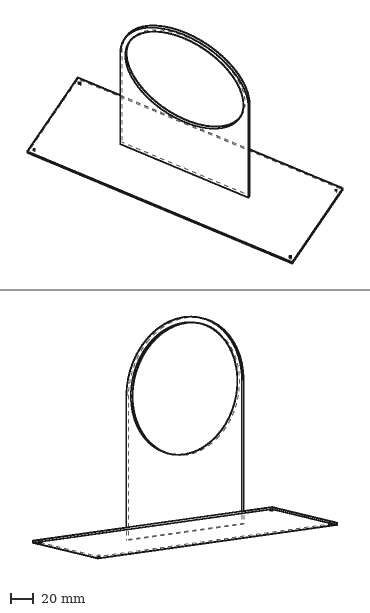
import cadquery as cq

plate_width = 94.0
plate_thickness = 2.0
plate_overhang = 68.0

ring_bore = 117.51
ring_wall = 5.0
upright_thickness = 2.8
total_height = 193.32

hole_inset_x = 4.35
hole_inset_y = 4.8
large_hole = 2.2
medium_hole = 1.7
small_hole = 1.3

ring_radius = ring_bore / 2 + ring_wall
plate_length = 2 * (ring_radius + plate_overhang)
ring_centre_z = total_height - ring_radius


def make_plate():
    """Flat base with a through hole near each corner, in three sizes."""
    plate = cq.Workplane("XY").box(
        plate_length, plate_width, plate_thickness, centered=(True, True, False)
    )
    hole_x = plate_length / 2 - hole_inset_x
    hole_y = plate_width / 2 - hole_inset_y
    corner_holes = [
        (-hole_x, hole_y, large_hole),
        (hole_x, -hole_y, medium_hole),
        (hole_x, hole_y, small_hole),
        (-hole_x, -hole_y, small_hole),
    ]
    for x, y, diameter in corner_holes:
        cutter = cq.Workplane("XY").center(x, y).circle(diameter / 2).extrude(plate_thickness)
        plate = plate.cut(cutter)
    return plate


def make_upright():
    """Round-topped panel with a large bore concentric with its top."""
    panel = (
        cq.Workplane("XZ")
        .moveTo(-ring_radius, 0)
        .lineTo(-ring_radius, ring_centre_z)
        .threePointArc((0, total_height), (ring_radius, ring_centre_z))
        .lineTo(ring_radius, 0)
        .close()
        .extrude(upright_thickness / 2, both=True)
    )
    bore = (
        cq.Workplane("XZ")
        .center(0, ring_centre_z)
        .circle(ring_bore / 2)
        .extrude(upright_thickness / 2, both=True)
    )
    return panel.cut(bore)


result = make_plate().union(make_upright())